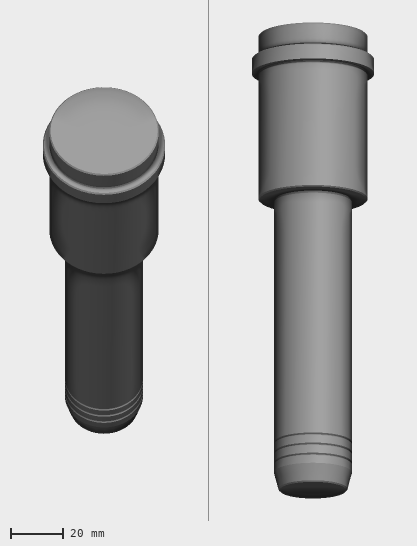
import cadquery as cq
import math

total_length = 180.0
body_length = 65.0
head_length = 9.0
flange_thickness = 6.0
tip_length = 7.0

body_diameter = 42.0
flange_diameter = 47.0
shaft_diameter = 30.0

edge_chamfer = 0.5
tip_taper_angle = 15.0

groove_width = 1.0
groove_depth = 0.5
ring_groove_pitch = 4.0
ring_groove_count = 3
first_ring_groove = 10.0

neck_width = 1.0
neck_diameter = 29.0

body_bottom = total_length - body_length
flange_top = total_length - head_length
flange_bottom = flange_top - flange_thickness
neck_bottom = body_bottom - neck_width
shaft_radius = shaft_diameter / 2
taper_height = tip_length - edge_chamfer
tip_radius = shaft_radius - taper_height * math.tan(math.radians(tip_taper_angle))


def cylinder(diameter, bottom, top):
    return cq.Workplane("XY").workplane(offset=bottom).circle(diameter / 2).extrude(top - bottom)


def revolve_about_z(profile):
    return profile.revolve(360, (0, 0, 0), (0, 1, 0))


def vee_groove(diameter, bottom):
    """Ring-shaped cutter for a V groove in a cylinder of the given diameter."""
    radius = diameter / 2
    profile = (
        cq.Workplane("XZ")
        .moveTo(radius, bottom)
        .lineTo(radius - groove_depth, bottom + groove_width / 2)
        .lineTo(radius, bottom + groove_width)
        .close()
    )
    return revolve_about_z(profile)


def make_tip():
    """Tapered lead-in with a chamfered tip face."""
    profile = (
        cq.Workplane("XZ")
        .lineTo(tip_radius - edge_chamfer, 0)
        .lineTo(tip_radius, edge_chamfer)
        .lineTo(shaft_radius, tip_length)
        .lineTo(0, tip_length)
        .close()
    )
    return revolve_about_z(profile)


def make_shaft():
    """Straight shaft with ring grooves near its tip and a thinner neck under the body."""
    shaft = cylinder(shaft_diameter, tip_length, neck_bottom)
    for index in range(ring_groove_count):
        shaft = shaft.cut(vee_groove(shaft_diameter, first_ring_groove + index * ring_groove_pitch))
    neck = cylinder(neck_diameter, neck_bottom, body_bottom)
    return shaft.union(make_tip()).union(neck)


def make_body():
    """Thick cylinder with relief grooves directly above and below the flange."""
    body = cylinder(body_diameter, body_bottom, total_length)
    body = body.faces("<Z or >Z").chamfer(edge_chamfer)
    for bottom in (flange_top, flange_bottom - groove_width):
        body = body.cut(vee_groove(body_diameter, bottom))
    return body


def make_flange():
    """Collar chamfered on its upper edge only."""
    return cylinder(flange_diameter, flange_bottom, flange_top).faces(">Z").chamfer(edge_chamfer)


result = make_shaft().union(make_body()).union(make_flange())